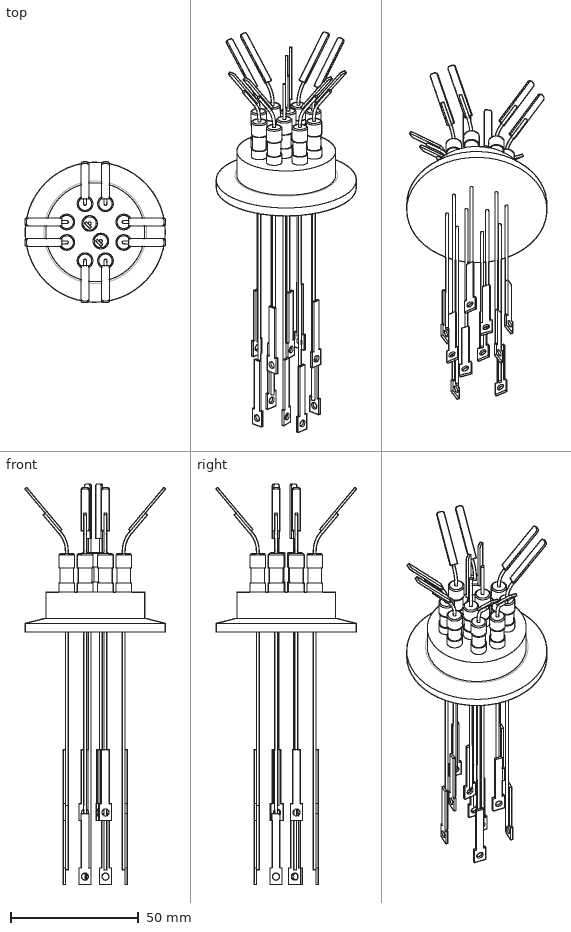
import cadquery as cq
import math

FLANGE_RADIUS = 27.5
FLANGE_EDGE_HEIGHT = 3.5
CONE_TOP_RADIUS = 20.0
CONE_TOP_HEIGHT = 5.3
BODY_DIAMETER = 38.7
BODY_RADIUS = BODY_DIAMETER / 2
BODY_TOP = 15.7

COLLAR_DIAMETER = 6.1
COLLAR_RADIUS = COLLAR_DIAMETER / 2
SLEEVE_RADIUS = 2.7
FOOT_HEIGHT = 3.5
SLEEVE_HEIGHT = 6.0
INSULATOR_HEIGHT = 15.0
INSULATOR_CHAMFER = 0.5
INNER_INSULATOR_LIFT = 0.5

OUTER_OFFSET = 11.1
PAIR_SPACING = 8.0
INNER_X = 2.2
INNER_Y = 3.5
WIRE_RADIUS = 0.6

STRIP_WIDTH = 3.0
STRIP_THICKNESS = 1.0
STRIP_FACE = 0.5

TERMINAL_LENGTH = 27.7
TAB_WIDTH = 4.9
TAB_LENGTH = 6.6
TAB_HOLE_RADIUS = 1.33
TAB_HOLE_HEIGHT = 3.1
WIRE_END_ABOVE_TIP = 5.8
LONG_TIP = -98.8
SHORT_TIP = -73.7

LEAD_STRIP_LENGTH = 21.5
LEAD_STRIP_TOP = 58.0
INNER_WIRE_TOP = 46.1
LEAD_CORNER_RADIUS = 1.0
BEND_START = 31.8
BEND_RADIUS = 10.7
BEND_ANGLE = 40.0
BEND_TO_STRIP = 0.8
LEAD_OVERLAP = 9.1

INNER_TERMINAL_ANGLE = 190
INNER_LEAD_ANGLE = 225


def flange_body():
    profile = [
        (0, 0),
        (FLANGE_RADIUS, 0),
        (FLANGE_RADIUS, FLANGE_EDGE_HEIGHT),
        (CONE_TOP_RADIUS, CONE_TOP_HEIGHT),
        (BODY_RADIUS, CONE_TOP_HEIGHT),
        (BODY_RADIUS, BODY_TOP),
        (0, BODY_TOP),
    ]
    return cq.Workplane("XZ").polyline(profile).close().revolve(360, (0, 0, 0), (0, 1, 0))


def insulator(lift):
    """Foot, narrower sleeve and chamfered collar; the lift lengthens the foot."""
    foot_top = BODY_TOP + FOOT_HEIGHT + lift
    sleeve_top = foot_top + SLEEVE_HEIGHT
    top = BODY_TOP + INSULATOR_HEIGHT + lift
    profile = [
        (0, BODY_TOP),
        (COLLAR_RADIUS, BODY_TOP),
        (COLLAR_RADIUS, foot_top),
        (SLEEVE_RADIUS, foot_top),
        (SLEEVE_RADIUS, sleeve_top),
        (COLLAR_RADIUS, sleeve_top),
        (COLLAR_RADIUS, top - INSULATOR_CHAMFER),
        (COLLAR_RADIUS - INSULATOR_CHAMFER, top),
        (0, top),
    ]
    return cq.Workplane("XZ").polyline(profile).close().revolve(360, (0, 0, 0), (0, 1, 0))


def straight_wire(bottom, top):
    return cq.Workplane("XY").workplane(offset=bottom).circle(WIRE_RADIUS).extrude(top - bottom)


def strip(width, bottom, length):
    """Upright flat strip on the +X side of a wire that runs along the Z axis."""
    box = cq.Workplane("XY").box(STRIP_THICKNESS, width, length, centered=(False, True, False))
    return box.translate((STRIP_FACE, 0, bottom))


def terminal(tip):
    blade = strip(STRIP_WIDTH, tip, TERMINAL_LENGTH)
    tab = strip(TAB_WIDTH, tip, TAB_LENGTH)
    hole = (
        cq.Workplane("YZ")
        .center(0, tip + TAB_HOLE_HEIGHT)
        .circle(TAB_HOLE_RADIUS)
        .extrude(STRIP_FACE + STRIP_THICKNESS)
    )
    return blade.union(tab).cut(hole)


def lead_strip(bottom):
    """Strip with its two top corners rounded."""
    blade = strip(STRIP_WIDTH, bottom, LEAD_STRIP_LENGTH)
    return blade.faces(">Z").edges("|X").fillet(LEAD_CORNER_RADIUS)


def bent_lead():
    """Wire bending toward +X, with a strip on the upper side of its sloping end."""
    angle = math.radians(BEND_ANGLE)
    bend_end_x = BEND_RADIUS * (1 - math.cos(angle))
    bend_end_z = BEND_START + BEND_RADIUS * math.sin(angle)
    slope_length = BEND_TO_STRIP + LEAD_OVERLAP
    wire_end_x = bend_end_x + slope_length * math.sin(angle)
    wire_end_z = bend_end_z + slope_length * math.cos(angle)
    path = (
        cq.Workplane("XZ")
        .moveTo(0, BODY_TOP)
        .lineTo(0, BEND_START)
        .radiusArc((bend_end_x, bend_end_z), BEND_RADIUS)
        .lineTo(wire_end_x, wire_end_z)
    )
    wire = cq.Workplane("XY").workplane(offset=BODY_TOP).circle(WIRE_RADIUS).sweep(path)
    sloping_strip = (
        lead_strip(BEND_TO_STRIP)
        .rotate((0, 0, 0), (0, 0, 1), 180)
        .rotate((0, 0, 0), (0, 1, 0), BEND_ANGLE)
        .translate((bend_end_x, 0, bend_end_z))
    )
    return wire.union(sloping_strip)


def outer_feedthrough(tip):
    """Feedthrough that faces +X, with its wire on the Z axis."""
    return (
        straight_wire(tip + WIRE_END_ABOVE_TIP, BODY_TOP + INSULATOR_HEIGHT)
        .union(insulator(0))
        .union(terminal(tip))
        .union(bent_lead())
    )


def inner_feedthrough(tip):
    """Straight feedthrough with its wire on the Z axis."""
    lead = lead_strip(LEAD_STRIP_TOP - LEAD_STRIP_LENGTH)
    return (
        straight_wire(tip + WIRE_END_ABOVE_TIP, INNER_WIRE_TOP)
        .union(insulator(INNER_INSULATOR_LIFT))
        .union(terminal(tip).rotate((0, 0, 0), (0, 0, 1), INNER_TERMINAL_ANGLE))
        .union(lead.rotate((0, 0, 0), (0, 0, 1), INNER_LEAD_ANGLE))
    )


result = flange_body()

for turn in (0, 90, 180, 270):
    for side, tip in ((-1, LONG_TIP), (1, SHORT_TIP)):
        placed = outer_feedthrough(tip).translate((OUTER_OFFSET, side * PAIR_SPACING / 2, 0))
        result = result.union(placed.rotate((0, 0, 0), (0, 0, 1), turn))

result = result.union(inner_feedthrough(LONG_TIP).translate((-INNER_X, INNER_Y, 0)))
result = result.union(inner_feedthrough(SHORT_TIP).translate((INNER_X, -INNER_Y, 0)))